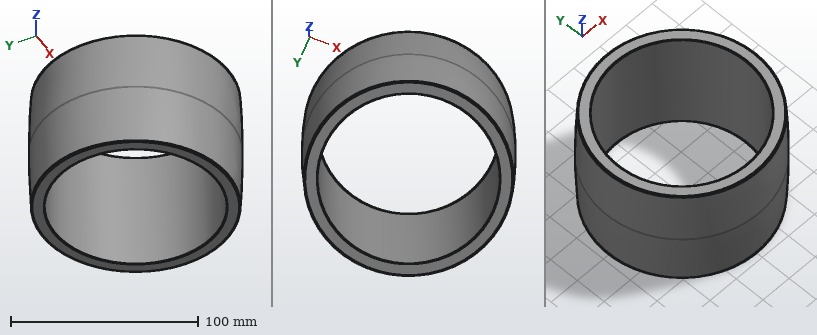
import cadquery as cq
import math

outer_diameter = 114.3
height = 73.0
end_diameter = 112.0
bore_diameter = 97.4
outer_chamfer = 0.7
bore_chamfer = 0.3
land_width = 0.6

outer_radius = outer_diameter / 2
end_radius = end_diameter / 2
bore_radius = bore_diameter / 2
half_height = height / 2
shoulder_z = half_height - outer_chamfer
bore_edge_z = half_height - bore_chamfer
land_edge_z = land_width / 2

crown = outer_radius - end_radius
arc_height = shoulder_z - land_edge_z
crown_arc_radius = (arc_height**2 + crown**2) / (2 * crown)
arc_centre = outer_radius - crown_arc_radius
arc_mid_rise = arc_height / 2
arc_mid_z = land_edge_z + arc_mid_rise
arc_mid_radius = arc_centre + math.sqrt(crown_arc_radius**2 - arc_mid_rise**2)

wall_section = (
    cq.Workplane("XZ")
    .moveTo(bore_radius + bore_chamfer, -half_height)
    .lineTo(end_radius - outer_chamfer, -half_height)
    .lineTo(end_radius, -shoulder_z)
    .threePointArc((arc_mid_radius, -arc_mid_z), (outer_radius, -land_edge_z))
    .lineTo(outer_radius, land_edge_z)
    .threePointArc((arc_mid_radius, arc_mid_z), (end_radius, shoulder_z))
    .lineTo(end_radius - outer_chamfer, half_height)
    .lineTo(bore_radius + bore_chamfer, half_height)
    .lineTo(bore_radius, bore_edge_z)
    .lineTo(bore_radius, -bore_edge_z)
    .close()
)

full_turn = 360
result = wall_section.revolve(full_turn, (0, 0, 0), (0, 1, 0))